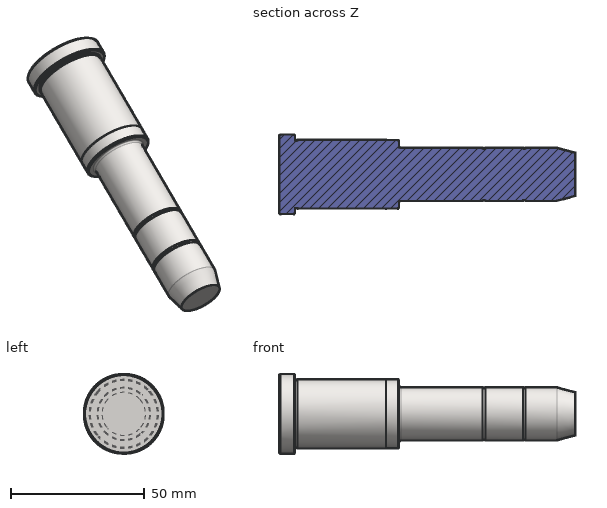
import cadquery as cq
import math

total_length = 111.0
head_diameter = 30.0
head_length = 6.0
head_chamfer = 0.4

body_diameter = 26.0
shoulder_x = 45.0
shoulder_chamfer = 0.4
lead_in_length = 5.0
lead_in_relief = 0.02

undercut_width = 0.9
undercut_depth = 0.3

shank_diameter = 20.0
shank_fillet = 0.7
groove_starts = (76.3, 91.4)
groove_width = 1.0
groove_depth = 0.3

nose_length = 7.0
nose_half_angle = 15.0

head_radius = head_diameter / 2
body_radius = body_diameter / 2
lead_in_radius = body_radius - lead_in_relief
shank_radius = shank_diameter / 2
nose_end_radius = shank_radius - nose_length * math.tan(math.radians(nose_half_angle))
lead_in_x = shoulder_x - lead_in_length
nose_x = total_length - nose_length


def round_groove(start, width, radius, depth):
    """Ring with a circular-arc floor, cut into a cylinder of the given radius."""
    return (
        cq.Workplane("XY")
        .moveTo(start, radius)
        .threePointArc((start + width / 2, radius - depth), (start + width, radius))
        .close()
        .revolve(360, (0, 0, 0), (1, 0, 0))
    )


result = (
    cq.Workplane("XY")
    .moveTo(0, 0)
    .lineTo(0, head_radius - head_chamfer)
    .lineTo(head_chamfer, head_radius)
    .lineTo(head_length - head_chamfer, head_radius)
    .lineTo(head_length, head_radius - head_chamfer)
    .lineTo(head_length, body_radius)
    .lineTo(lead_in_x, body_radius)
    .lineTo(lead_in_x, lead_in_radius)
    .lineTo(shoulder_x - shoulder_chamfer, lead_in_radius)
    .lineTo(shoulder_x, lead_in_radius - shoulder_chamfer)
    .lineTo(shoulder_x, shank_radius + shank_fillet)
    .radiusArc((shoulder_x + shank_fillet, shank_radius), -shank_fillet)
    .lineTo(nose_x, shank_radius)
    .lineTo(total_length, nose_end_radius)
    .lineTo(total_length, 0)
    .close()
    .revolve(360, (0, 0, 0), (1, 0, 0))
)

result = result.cut(round_groove(head_length, undercut_width, body_radius, undercut_depth))

for groove_start in groove_starts:
    result = result.cut(round_groove(groove_start, groove_width, shank_radius, groove_depth))